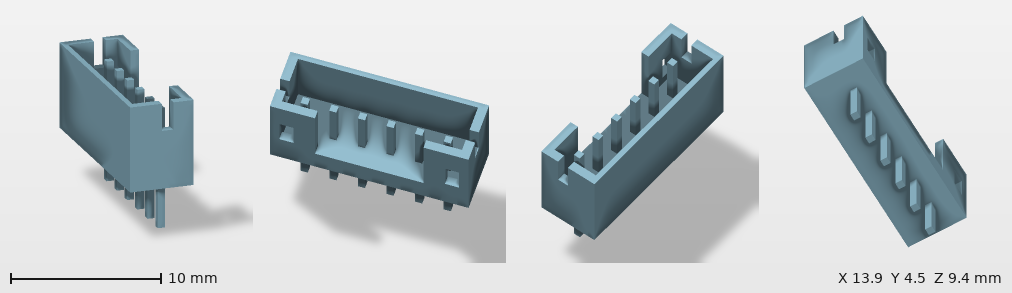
import cadquery as cq

length = 13.9
depth = 4.5
total_height = 9.4
pin_tail = 3.39
height = total_height - pin_tail
end_wall = 0.65
front_wall = 0.39
back_wall = 0.61
cavity_depth = 4.4
floor_z = height - cavity_depth

back_gap_width = 7.59
slot_depth = 1.92
slot_width = 0.83
window_width = 1.0
window_sill_z = height - 3.8
window_height = height - slot_depth - window_sill_z

pin_count = 6
pin_pitch = 2.0
pin_size = 0.5
pin_top_z = height - 0.95
pin_back_y = depth - 1.43

cavity_length = length - 2 * end_wall
cavity_width = depth - front_wall - back_wall


def block(size_x, size_y, size_z, center_x, min_y, min_z):
    """Box centred on center_x, starting at min_y and min_z."""
    box = cq.Workplane("XY").box(size_x, size_y, size_z, centered=(True, False, False))
    return box.translate((center_x, min_y, min_z))


def make_housing():
    """Open-topped shroud with a gap in the back wall and openings at both ends."""
    shell = block(length, depth, height, 0, 0, 0)
    cavity = block(cavity_length, cavity_width, cavity_depth, 0, front_wall, floor_z)
    back_gap = block(back_gap_width, back_wall, cavity_depth, 0, depth - back_wall, floor_z)
    end_slots = block(length, slot_width, slot_depth, 0, pin_back_y - slot_width, height - slot_depth)
    shell = shell.cut(cavity).cut(back_gap).cut(end_slots)
    window_x = (cavity_length - window_width) / 2
    for side in (-1, 1):
        shell = shell.cut(
            block(window_width, back_wall, window_height, side * window_x, depth - back_wall, window_sill_z)
        )
    return shell


def add_pins(body):
    """Row of square pins running through the floor."""
    pin_length = pin_top_z + pin_tail
    for index in range(pin_count):
        pin_x = (index - (pin_count - 1) / 2) * pin_pitch
        body = body.union(block(pin_size, pin_size, pin_length, pin_x, pin_back_y - pin_size, -pin_tail))
    return body


result = add_pins(make_housing())